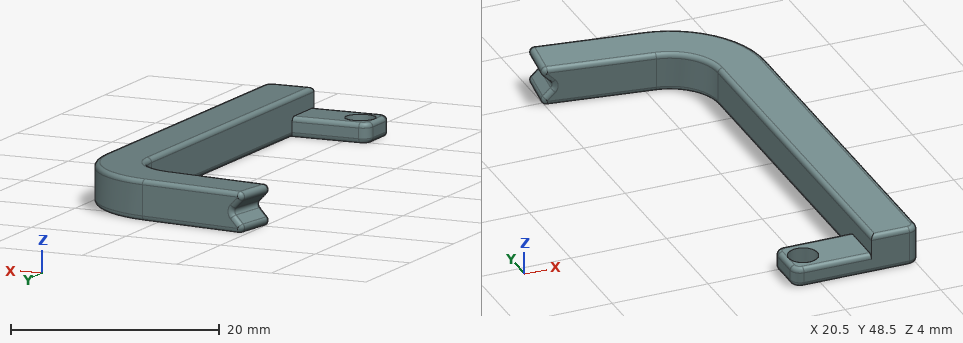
import cadquery as cq
import math

bar_width = 5.0
thickness = 4.0
shank_length = 37.05
bend_inner_radius = 5.0
bend_outer_radius = bend_inner_radius + bar_width
arm_rise = 8
arm_length = 11.35

tab_length = 8.05
tab_width = 5.0
tab_thickness = thickness / 2
hole_diameter = 3.0
hole_inset = 2.0
corner_radius = 1.0

tip_radius = 0.51
notch_root_radius = 0.5
edge_radius = 0.5
tolerance = 0.05

bend_center = (-bend_inner_radius, shank_length)
rise = math.radians(arm_rise)
arm_direction = (-math.cos(rise), math.sin(rise))
bend_sweep = 90 - arm_rise


def bend_point(radius, degrees):
    """Point of the bend, measured counterclockwise from +X."""
    angle = math.radians(degrees)
    return (bend_center[0] + radius * math.cos(angle), bend_center[1] + radius * math.sin(angle))


def along_arm(start, distance):
    return (start[0] + distance * arm_direction[0], start[1] + distance * arm_direction[1])


inner_bend_end = bend_point(bend_inner_radius, bend_sweep)
outer_bend_end = bend_point(bend_outer_radius, bend_sweep)
inner_arm_end = along_arm(inner_bend_end, arm_length)
outer_arm_end = along_arm(outer_bend_end, arm_length)
arm_end_middle = tuple((a + b) / 2 for a, b in zip(inner_arm_end, outer_arm_end))


def make_bar():
    return (
        cq.Workplane("XY")
        .lineTo(bar_width, 0)
        .lineTo(bar_width, shank_length)
        .threePointArc(bend_point(bend_outer_radius, bend_sweep / 2), outer_bend_end)
        .lineTo(*outer_arm_end)
        .lineTo(*inner_arm_end)
        .lineTo(*inner_bend_end)
        .threePointArc(bend_point(bend_inner_radius, bend_sweep / 2), (0, shank_length))
        .close()
        .extrude(thickness)
        .edges("|Z and >X and <Y")
        .fillet(corner_radius)
    )


def make_tab():
    return (
        cq.Workplane("XY")
        .box(tab_length + bar_width / 2, tab_width, tab_thickness, centered=False)
        .translate((-tab_length, 0, 0))
        .edges("|Z and <X")
        .fillet(corner_radius)
    )


def make_notch_cutter():
    """Space beyond the arm end: two rounded lips with a 45 degree V between them.

    Local X runs back into the arm, local Y is height above mid-thickness.
    """
    half = thickness / 2
    diagonal = math.sqrt(0.5)
    lip_height = half - tip_radius
    lip_tangent = (tip_radius * (1 - diagonal), lip_height - tip_radius * diagonal)
    root_height = notch_root_radius * diagonal
    root_start = lip_tangent[0] + lip_tangent[1] - root_height
    root_depth = root_start + notch_root_radius * (1 - diagonal)
    plane = cq.Plane(
        origin=(arm_end_middle[0], arm_end_middle[1], half),
        xDir=(-arm_direction[0], -arm_direction[1], 0),
        normal=(-arm_direction[1], arm_direction[0], 0),
    )
    return (
        cq.Workplane(plane)
        .moveTo(-tip_radius, half)
        .lineTo(tip_radius, half)
        .threePointArc((0, lip_height), lip_tangent)
        .lineTo(root_start, root_height)
        .threePointArc((root_depth, 0), (root_start, -root_height))
        .lineTo(lip_tangent[0], -lip_tangent[1])
        .threePointArc((0, -lip_height), (tip_radius, -half))
        .lineTo(-tip_radius, -half)
        .close()
        .extrude(bar_width, both=True)
    )


def round_edges(body):
    """Round every outline edge; the arm sides carry the round through the notch."""
    end_line = along_arm(arm_end_middle, -tip_radius)
    tab_top_area = cq.selectors.BoxSelector(
        (-tab_length, 0, tab_thickness - tolerance),
        (0, tab_width, tab_thickness + tolerance),
    )

    def is_outline(edge):
        middle = edge.Center()
        return math.hypot(middle.x - end_line[0], middle.y - end_line[1]) > tip_radius

    def is_free(edge):
        return edge.Center().x < -tolerance

    outline = body.faces("<Z or >Z").edges().filter(is_outline)
    tab_top = body.faces(tab_top_area).edges().filter(is_free)
    return body.newObject(outline.vals() + tab_top.vals()).fillet(edge_radius)


def make_hole():
    return (
        cq.Workplane("XY")
        .center(hole_inset - tab_length, tab_width / 2)
        .circle(hole_diameter / 2)
        .extrude(thickness)
    )


body = make_bar().cut(make_notch_cutter()).union(make_tab())
result = round_edges(body).cut(make_hole())